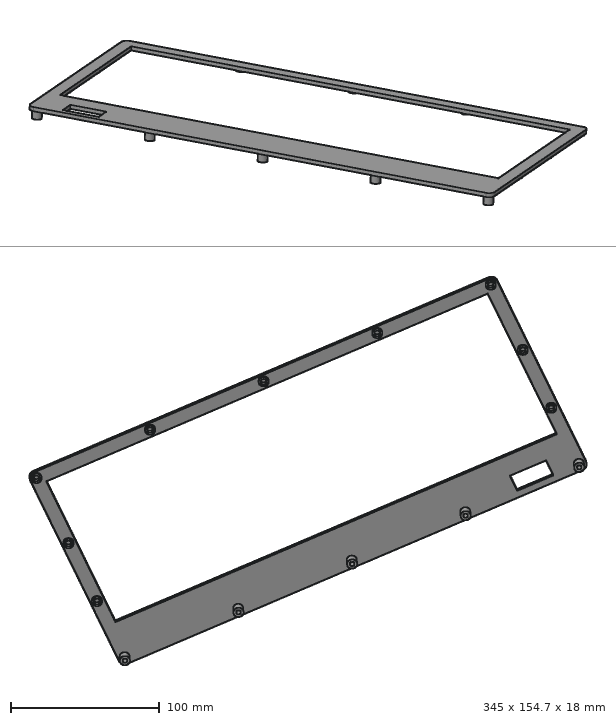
import cadquery as cq

LENGTH = 345.0
WIDTH = 155.0
THICKNESS = 3.0
CORNER_RADIUS = 4.5
TILT_DEGREES = 5.0

BORDER = 9.5
FRONT_BAND = 31.5

SLOT_LENGTH = 26.5
SLOT_WIDTH = 12.0
SLOT_FROM_LEFT = 24.0
SLOT_FROM_FRONT = 5.0

BOSS_DIAMETER = 7.0
BOSS_FROM_SIDE = 5.0
BOSS_FROM_FRONT = 5.5
BOSS_FROM_BACK = 4.0
FRONT_BOSS_HEIGHT = 6.5
LOW_BOSS_HEIGHT = 1.52
SIDE_BOSS_FROM_BACK = (57.0, 104.0)
FRONT_HOLE_DIAMETER = 3.0
LOW_HOLE_DIAMETER = 4.0
LOW_HOLE_ROOF = 1.0

LEFT = -LENGTH / 2
FRONT = -WIDTH / 2
BACK = WIDTH / 2


def rectangular_cutter(x_min, y_min, length, width):
    """Block that cuts a rectangular opening through the plate."""
    return cq.Workplane("XY").box(length, width, THICKNESS, centered=False).translate((x_min, y_min, 0))


def make_plate():
    plate = cq.Workplane("XY").box(LENGTH, WIDTH, THICKNESS, centered=(True, True, False))
    plate = plate.edges("|Z").fillet(CORNER_RADIUS)
    window = rectangular_cutter(
        LEFT + BORDER,
        FRONT + FRONT_BAND,
        LENGTH - 2 * BORDER,
        WIDTH - FRONT_BAND - BORDER,
    )
    slot = rectangular_cutter(LEFT + SLOT_FROM_LEFT, FRONT + SLOT_FROM_FRONT, SLOT_LENGTH, SLOT_WIDTH)
    return plate.cut(window).cut(slot)


def add_bosses(body, centers, height, hole_diameter, hole_depth):
    """Join bosses to the underside and drill a blind screw hole up each one."""
    base = cq.Workplane("XY", origin=(0, 0, -height)).pushPoints(centers)
    bosses = base.circle(BOSS_DIAMETER / 2).extrude(height + THICKNESS / 2)
    holes = base.circle(hole_diameter / 2).extrude(hole_depth)
    return body.union(bosses).cut(holes)


end_x = LENGTH / 2 - BOSS_FROM_SIDE
row_x = [end_x * step / 2 for step in range(-2, 3)]
front_centers = [(x, FRONT + BOSS_FROM_FRONT) for x in row_x]
back_centers = [(x, BACK - BOSS_FROM_BACK) for x in row_x]
side_centers = [(x, BACK - offset) for x in (-end_x, end_x) for offset in SIDE_BOSS_FROM_BACK]

frame = make_plate()
front_hole_depth = FRONT_BOSS_HEIGHT
low_hole_depth = LOW_BOSS_HEIGHT + THICKNESS - LOW_HOLE_ROOF
low_centers = back_centers + side_centers
frame = add_bosses(frame, front_centers, FRONT_BOSS_HEIGHT, FRONT_HOLE_DIAMETER, front_hole_depth)
frame = add_bosses(frame, low_centers, LOW_BOSS_HEIGHT, LOW_HOLE_DIAMETER, low_hole_depth)

result = frame.rotate((0, 0, 0), (1, 0, 0), -TILT_DEGREES)